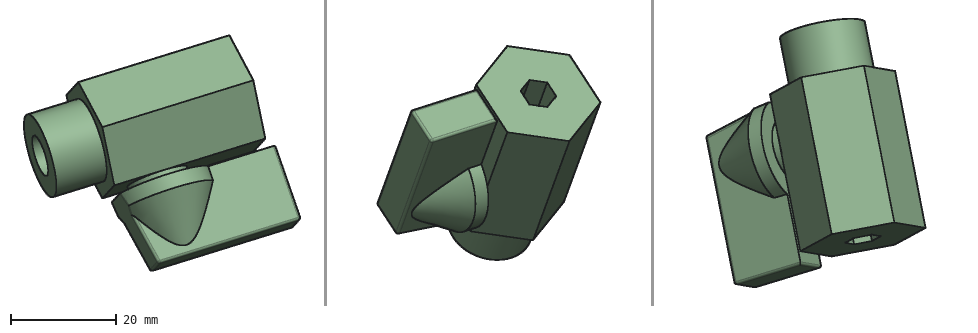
import cadquery as cq
import math

body_flats = 21.0
body_length = 31.0
spigot_diameter = 16.5
spigot_length = 10.3
bore_diameter = 8.0
hex_hole_flats = 5.98

tilt_angle = 30
axis_y = 10.0
stem_diameter = 12.0
stem_length = 1.5
disc_diameter = 19.9
disc_thickness = 2.9
cone_half_angle = 30
lever_width = 8.0
lever_height = 15.0
lever_back_reach = 23.0
lever_front_reach = 9.0
front_slope_angle = 10
edge_radius = 0.5

body_apothem = body_flats / 2
disc_base = body_apothem + stem_length
lever_top = disc_base + lever_height
back_y = axis_y + lever_back_reach
front_y = axis_y - lever_front_reach
front_setback = lever_height * math.tan(math.radians(front_slope_angle))


def hex_prism(flats, start_y, length):
    """Hexagonal bar along +Y with flats at its top and bottom."""
    corner_diameter = flats / math.cos(math.pi / 6)
    return (
        cq.Workplane("XZ", origin=(0, start_y, 0))
        .polygon(6, corner_diameter)
        .extrude(-length)
    )


def make_body():
    """Hexagonal bar with a round spigot at the front."""
    spigot = cq.Workplane("XZ").circle(spigot_diameter / 2).extrude(spigot_length)
    return hex_prism(body_flats, 0, body_length).union(spigot)


def make_passage():
    """Round bore through the spigot, continuing as a hexagonal hole."""
    bore = cq.Workplane("XZ").circle(bore_diameter / 2).extrude(spigot_length)
    return bore.union(hex_prism(hex_hole_flats, 0, body_length))


def make_hub():
    """Disc with a conical top, turned about the handle axis."""
    disc_radius = disc_diameter / 2
    cone_base = disc_base + disc_thickness
    cone_height = lever_top - cone_base
    cone_top_radius = disc_radius - cone_height * math.tan(math.radians(cone_half_angle))
    profile = [
        (disc_base, 0),
        (disc_base, disc_radius),
        (cone_base, disc_radius),
        (lever_top, cone_top_radius),
        (lever_top, 0),
    ]
    hub = cq.Workplane("XY").polyline(profile).close().revolve(360, (0, 0), (1, 0))
    return hub.translate((0, axis_y, 0))


def lever_prism(width):
    """Block with the lever's side outline: square back, sloping front."""
    outline = [
        (disc_base, front_y),
        (lever_top, front_y + front_setback),
        (lever_top, back_y),
        (disc_base, back_y),
    ]
    return cq.Workplane("XY").polyline(outline).close().extrude(width / 2, both=True)


def make_handle():
    """Lever and hub with a common sloping front, rounded edges and a stem."""
    trimmed_hub = make_hub().intersect(lever_prism(disc_diameter))
    grip = lever_prism(lever_width).union(trimmed_hub)
    slope = math.radians(front_slope_angle)
    front_normal = cq.Vector(math.sin(slope), -math.cos(slope), 0)
    front_edges = grip.faces(cq.selectors.DirectionSelector(front_normal)).edges()
    front_edges = front_edges.edges("not <X")
    grip = grip.faces(">X or >Y").edges().add(front_edges).fillet(edge_radius)
    stem = (
        cq.Workplane("YZ", origin=(body_apothem, axis_y, 0))
        .circle(stem_diameter / 2)
        .extrude(stem_length)
    )
    return grip.union(stem).rotate((0, 0, 0), (0, 1, 0), tilt_angle)


result = make_body().cut(make_passage()).union(make_handle())